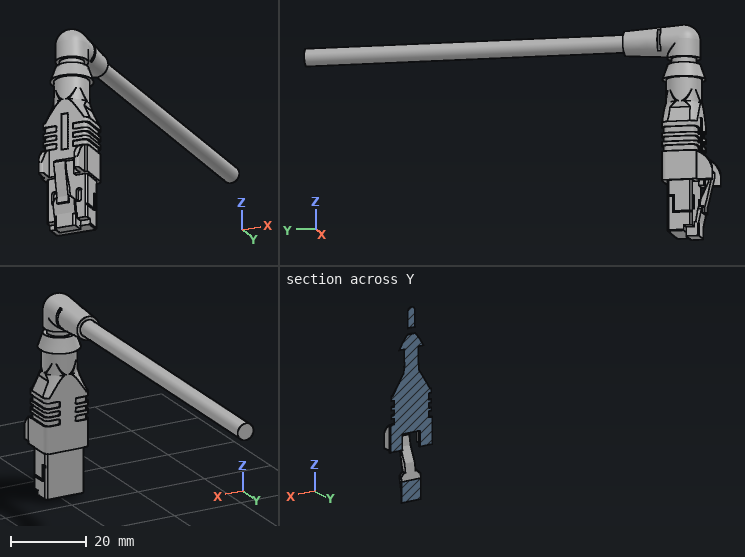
import cadquery as cq


overall_length = 111.2
overall_height = 57.5
body_width = 13.3
wing_reach = 8.8
cable_end = overall_length - wing_reach

cable_diameter = 4.8
elbow_diameter = 8.8
elbow_bottom = 48.4
cable_height = overall_height - elbow_diameter / 2
boot_tip_diameter = 6.7
boot_length = 15.9
boot_notch_start = 5.7
boot_notch_width = 0.8
boot_notch_core = 5.6

neck_diameter = 6.7
collar_top = 46.7
collar_bottom = 42.7
collar_bottom_diameter = 11.6

body_depth = 9.6
body_bottom = 14.7
housing_top = 22.4
shoulder_height = 30.4
taper_top = 34.5
body_top = 36.1
corner_radius = 1.5
blend_top = 39.4
blend_taper = 17.0
blend_foot_radius = 7.3
blend_middle = (5.6, 34.4)
blend_lip = 0.1

grip_grooves = [(22.5, 24.0), (25.0, 26.4), (27.4, 29.0)]
grip_depth = 0.39
grip_inner_end = 2.3
groove_end_radius = 0.5

label_width = 1.9
label_bottom = 22.0
label_top = 32.1
label_depth = 0.3
latch_window_width = 5.5
latch_window_top = 19.1

wing_inner = 4.5
wing_outer = 5.9
wing_edge_radius = 0.6
wing_arc_bottom = 17.6
wing_crest = (-7.5, 20.5)
wing_root = 1.1

plug_width = 11.8
plug_depth = 6.8
plug_bottom = 1.0
plug_edge_chamfer = 0.6
plug_rim_chamfer = plug_edge_chamfer / 2
shield_line_width = 0.3
shield_line_depth = 0.2
shield_step_low = 6.3
shield_step_high = 10.7
shield_step_y = 1.5
window_offset = 3.6
window_width = 1.5
window_bottom = 7.1
window_top = 10.9
window_depth = 1.1

lever_width = 3.2
nose_width = 6.1
nose_tip_width = 4.8
nose_tip_depth = 0.3
nose_back_top = 2.5
nose_back = -1.2
nose_front = -4.7
nose_inner_face = -3.2
nose_top = 3.8
lever_base_top = 8.1
lever_base_chamfer = 0.9
lever_foot = 6.5
lever_top = 17.5
lever_base_outline = [
    (nose_front, 3.3), (nose_front, nose_top), (-5.2, 6.2),
    (-5.6, lever_base_top), (-4.6, lever_base_top), (-3.8, 3.3),
]
lever_outline = [
    (-6.0, lever_foot), (-6.0, lever_base_top), (-6.6, 10.1), (-8.0, 16.6), (-8.0, lever_top),
    (-7.6, lever_top), (-7.0, body_bottom), (-5.0, 10.6), (-4.6, lever_base_top), (-4.6, lever_foot),
]


def block(x_range, y_range, z_range):
    """Box between the given limits."""
    size = [high - low for low, high in (x_range, y_range, z_range)]
    return cq.Workplane().box(*size, centered=False).translate((x_range[0], y_range[0], z_range[0]))


def post(diameter, bottom, top):
    """Round post on the plug axis."""
    return cq.Workplane().workplane(offset=bottom).circle(diameter / 2).extrude(top - bottom)


def side_profile(points, width):
    """Outline of (y, z) points, extruded evenly to both sides of X = 0."""
    return cq.Workplane("YZ").polyline(points).close().extrude(width / 2, both=True)


def make_cable_and_elbow():
    elbow = post(elbow_diameter, elbow_bottom, cable_height)
    elbow = elbow.union(cq.Workplane().sphere(elbow_diameter / 2).translate((0, 0, cable_height)))
    boot = (
        cq.Workplane("XY")
        .polyline([(0, 0), (elbow_diameter / 2, 0), (boot_tip_diameter / 2, boot_length), (0, boot_length)])
        .close()
        .revolve(360, (0, 0, 0), (0, 1, 0))
        .translate((0, 0, cable_height))
    )
    notch_y = (boot_notch_start, boot_notch_start + boot_notch_width)
    notch_z = (cable_height - elbow_diameter / 2, cable_height + elbow_diameter / 2)
    for side in (-1, 1):
        notch_x = sorted((side * boot_notch_core / 2, side * elbow_diameter))
        boot = boot.cut(block(notch_x, notch_y, notch_z))
    cable = cq.Workplane("XZ").circle(cable_diameter / 2).extrude(-cable_end).translate((0, 0, cable_height))
    return elbow.union(boot).union(cable)


def make_neck_and_collar():
    collar = (
        cq.Workplane()
        .workplane(offset=collar_bottom)
        .circle(collar_bottom_diameter / 2)
        .workplane(offset=collar_top - collar_bottom)
        .circle(elbow_diameter / 2)
        .loft()
    )
    return collar.union(post(neck_diameter, collar_top, elbow_bottom))


def rounded_block(width, depth, bottom, top):
    """Upright block with rounded vertical edges, centred on the plug axis."""
    blank = cq.Workplane().workplane(offset=bottom).rect(width, depth).extrude(top - bottom)
    return blank.edges("|Z").fillet(corner_radius)


def make_shoulder():
    """Upper body: narrows to a square, then dies into the stem, with a flared round cut on the corners."""
    lower_outline = cq.Sketch().rect(body_width, body_depth).vertices().fillet(corner_radius)
    upper_outline = cq.Sketch().rect(body_depth, body_depth).vertices().fillet(corner_radius)
    taper_rise = cq.Location(cq.Vector(0, 0, taper_top - shoulder_height))
    shoulder = (
        cq.Workplane()
        .workplane(offset=shoulder_height)
        .placeSketch(lower_outline, upper_outline.moved(taper_rise))
        .loft()
    )
    shoulder = shoulder.union(rounded_block(body_depth, body_depth, taper_top, body_top))
    blend_tip = (
        cq.Workplane()
        .workplane(offset=body_top)
        .placeSketch(upper_outline)
        .extrude(blend_top - body_top, taper=blend_taper)
    )
    flare = (
        cq.Workplane("XZ")
        .moveTo(0, shoulder_height)
        .lineTo(blend_foot_radius, shoulder_height)
        .threePointArc(blend_middle, (body_depth / 2 + blend_lip, body_top))
        .lineTo(body_depth / 2, blend_top)
        .lineTo(0, blend_top)
        .close()
        .revolve(360, (0, 0, 0), (0, 1, 0))
    )
    return shoulder.union(blend_tip).intersect(flare)


def cut_grip_grooves(body):
    core_width = body_width - 2 * grip_depth
    core_depth = body_depth - 2 * grip_depth
    core = rounded_block(core_width, core_depth, body_bottom, shoulder_height)
    for bottom, top in grip_grooves:
        for side in (-1, 1):
            groove_x = sorted((side * grip_inner_end, side * body_width))
            groove = block(groove_x, (-body_depth, body_depth), (bottom, top))
            groove = groove.edges("|Y").fillet(groove_end_radius)
            body = body.cut(groove.cut(core))
    return body


def make_body():
    half = body_width / 2
    front = -body_depth / 2
    body = rounded_block(body_width, body_depth, body_bottom, shoulder_height)
    body = body.union(make_shoulder()).union(post(body_depth, body_bottom, collar_bottom))
    body = cut_grip_grooves(body)
    body = body.union(block((-half, half), (front, 0), (body_bottom, housing_top)))
    label_x = (-label_width / 2, label_width / 2)
    body = body.cut(block(label_x, (front, front + label_depth), (label_bottom, label_top)))
    latch_window_x = (-latch_window_width / 2, latch_window_width / 2)
    return body.cut(block(latch_window_x, (front, -plug_depth / 2), (body_bottom, latch_window_top)))


def make_wings():
    front = -body_depth / 2
    profile = (
        cq.Workplane("YZ")
        .moveTo(front + wing_root, body_bottom)
        .lineTo(-wing_reach, body_bottom)
        .lineTo(-wing_reach, wing_arc_bottom)
        .threePointArc(wing_crest, (front, housing_top))
        .lineTo(front + wing_root, housing_top)
        .close()
    )
    wing = profile.extrude(wing_outer - wing_inner).translate((wing_inner, 0, 0))
    wing = wing.faces("<Y").edges("|Z").fillet(wing_edge_radius)
    return wing.union(wing.mirror("YZ"))


def make_plug():
    half_width = plug_width / 2
    front = -plug_depth / 2
    back = plug_depth / 2
    sides = (-half_width, half_width)
    plug = block(sides, (front, back), (plug_bottom, body_bottom))
    plug = plug.edges("|Z").chamfer(plug_edge_chamfer)
    plug = plug.faces("<Z").edges().chamfer(plug_rim_chamfer)
    plug = plug.cut(block(sides, (front, nose_back), (plug_bottom, nose_back_top)))

    step_inner_y = shield_step_y + shield_line_width
    shield_stretches = [
        ((shield_step_y, back), (shield_step_high - shield_line_width, shield_step_high)),
        ((shield_step_y, step_inner_y), (shield_step_low, shield_step_high)),
        ((front, step_inner_y), (shield_step_low - shield_line_width, shield_step_low)),
    ]
    for side in (-1, 1):
        line_x = sorted((side * (half_width - shield_line_depth), side * half_width))
        for line_y, line_z in shield_stretches:
            plug = plug.cut(block(line_x, line_y, line_z))
        window = (
            cq.Workplane("XZ", origin=(side * window_offset, front, (window_bottom + window_top) / 2))
            .slot2D(window_top - window_bottom, window_width, 90)
            .extrude(-window_depth)
        )
        plug = plug.cut(window)
    return plug


def make_latch():
    nose = side_profile(
        [
            (nose_back, 0), (nose_front, 0), (nose_front, nose_top),
            (nose_inner_face, nose_top), (nose_inner_face, nose_back_top), (nose_back, nose_back_top),
        ],
        nose_width,
    )
    tip_side = (nose_width - nose_tip_width) / 2
    nose = nose.faces("<Y").edges("|Z").chamfer(tip_side, nose_tip_depth)
    lever_base = side_profile(lever_base_outline, nose_width)
    lever_base = lever_base.faces(">Z").edges("|Y").chamfer(lever_base_chamfer)
    return nose.union(lever_base).union(side_profile(lever_outline, lever_width))


result = make_cable_and_elbow()
for piece in (make_neck_and_collar(), make_body(), make_wings(), make_plug(), make_latch()):
    result = result.union(piece)